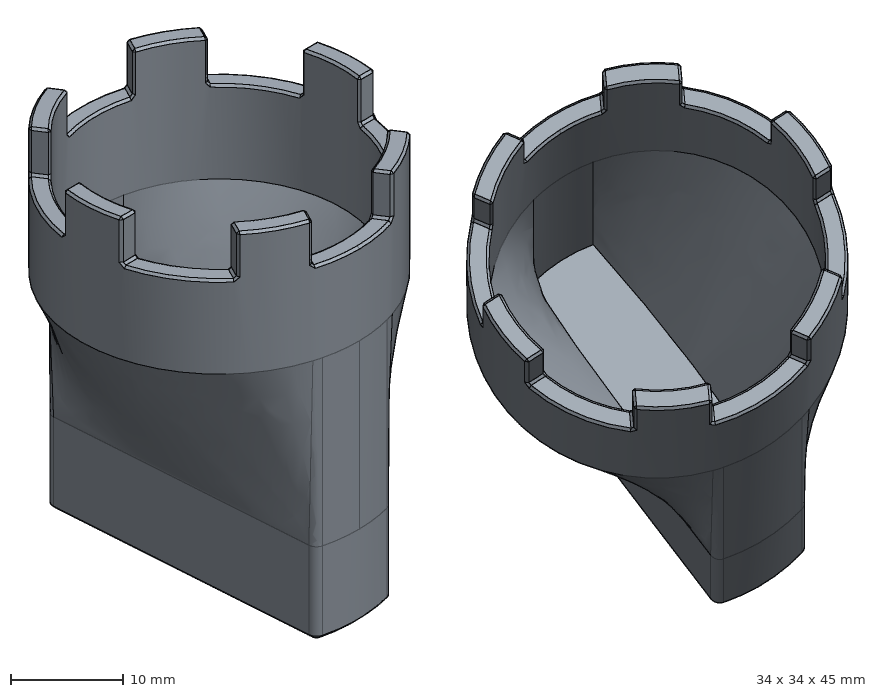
import cadquery as cq
import math

outer_diameter = 34.0
bore_diameter = 30.0
wall = (outer_diameter - bore_diameter) / 2
total_height = 45.0
foot_width = 10.0

floor_mid_width = 7.6
floor_end_width = 6.5

foot_top = 10.0
neck_top = 30.0
rim_top = 40.0

tooth_count = 6
tooth_width = 7.0

foot_corner_radius = 1.0
foot_chamfer = 0.5
rim_chamfer = 0.25

tolerance = 0.001

outer_radius = outer_diameter / 2
bore_radius = bore_diameter / 2
floor_height = foot_top + wall


def foot_outline(z):
    """Outer circle trimmed to a band along X, with rounded corners, at height z."""
    radius = outer_radius
    corner = foot_corner_radius
    half = foot_width / 2
    corner_centre_y = half - corner
    corner_centre_x = math.sqrt((radius - corner) ** 2 - corner_centre_y**2)
    end_angle = math.atan2(corner_centre_y, corner_centre_x)
    mid_angle = (end_angle + math.pi / 2) / 2
    end_x = radius * math.cos(end_angle)
    end_y = radius * math.sin(end_angle)
    mid_x = corner_centre_x + corner * math.cos(mid_angle)
    mid_y = corner_centre_y + corner * math.sin(mid_angle)
    return (
        cq.Workplane("XY", origin=(0, 0, z))
        .moveTo(end_x, -end_y)
        .threePointArc((radius, 0), (end_x, end_y))
        .threePointArc((mid_x, mid_y), (corner_centre_x, half))
        .lineTo(-corner_centre_x, half)
        .threePointArc((-mid_x, mid_y), (-end_x, end_y))
        .threePointArc((-radius, 0), (-end_x, -end_y))
        .threePointArc((-mid_x, -mid_y), (-corner_centre_x, -half))
        .lineTo(corner_centre_x, -half)
        .threePointArc((mid_x, -mid_y), (end_x, -end_y))
        .close()
    )


def cavity_floor_outline(z):
    """Round ends on the bore radius joined by two slightly bowed long sides."""
    corner_y = floor_end_width / 2
    corner_x = math.sqrt(bore_radius**2 - corner_y**2)
    bow_y = floor_mid_width / 2
    return (
        cq.Workplane("XY", origin=(0, 0, z))
        .moveTo(corner_x, -corner_y)
        .threePointArc((bore_radius, 0), (corner_x, corner_y))
        .threePointArc((0, bow_y), (-corner_x, corner_y))
        .threePointArc((-bore_radius, 0), (-corner_x, -corner_y))
        .threePointArc((0, -bow_y), (corner_x, -corner_y))
        .close()
    )


def loft_to_circle(outline, radius):
    """Straight-sided loft from a flat outline up to a circle at the top of the neck."""
    circle = cq.Wire.makeCircle(radius, cq.Vector(0, 0, neck_top), cq.Vector(0, 0, 1))
    return cq.Workplane(cq.Solid.makeLoft([outline.val(), circle], True))


def make_foot():
    foot = foot_outline(0).extrude(foot_top)
    return foot.faces("<Z").chamfer(foot_chamfer)


def make_neck():
    foot_end = foot_outline(foot_top)
    return loft_to_circle(foot_end, outer_radius)


def make_cavity():
    return loft_to_circle(cavity_floor_outline(floor_height), bore_radius)


def neck_disc(radius):
    """Disc that reaches from the top of the neck to the tips of the teeth."""
    return cq.Workplane("XY", origin=(0, 0, neck_top)).circle(radius).extrude(total_height - neck_top)


def make_tooth_gaps():
    """Everything above the rim except diametral bars, each leaving two opposite teeth."""
    tooth_height = total_height - rim_top
    cutter_radius = outer_diameter
    gaps = cq.Workplane("XY", origin=(0, 0, rim_top)).circle(cutter_radius).extrude(tooth_height)
    bar = cq.Workplane("XY", origin=(0, 0, rim_top)).box(
        tooth_width, 2 * cutter_radius, tooth_height, centered=(True, True, False)
    )
    for index in range(tooth_count // 2):
        gaps = gaps.cut(bar.rotate((0, 0, 0), (0, 0, 1), index * 360 / tooth_count))
    return gaps


def chamfer_crown(body):
    """Chamfer every edge of the teeth and of the rim between them."""
    crown_edges = [edge for edge in body.edges().vals() if edge.Center().z > rim_top - tolerance]
    return body.newObject(crown_edges).chamfer(rim_chamfer)


blank = make_neck().union(neck_disc(outer_radius)).union(make_foot())
hollow = blank.cut(make_cavity()).cut(neck_disc(bore_radius))
result = chamfer_crown(hollow.cut(make_tooth_gaps()))